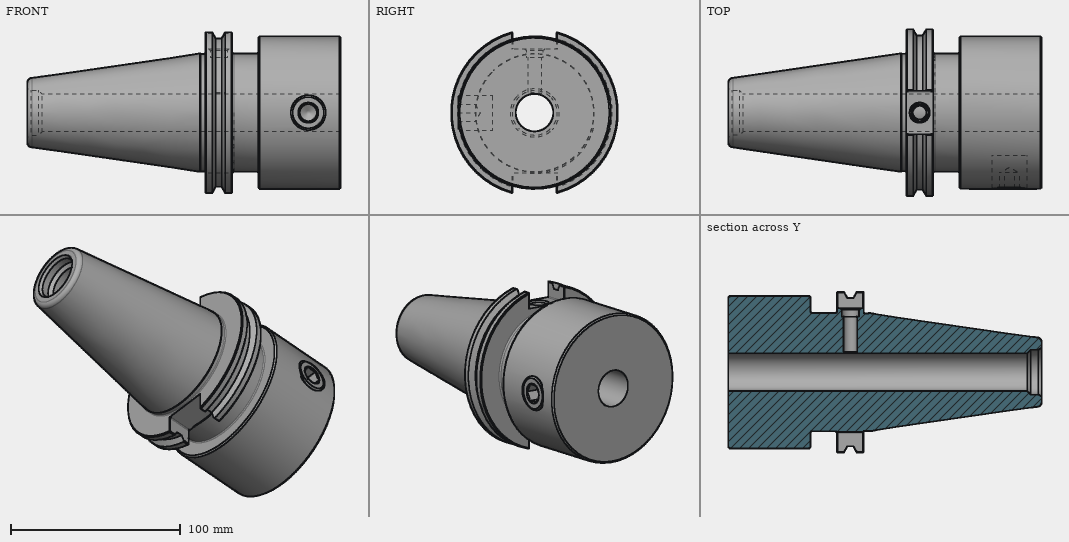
import cadquery as cq
import math


gauge_length = 101.6
gauge_diameter = 69.85
taper_per_length = 7 / 24
shank_end_radius = (gauge_diameter - gauge_length * taper_per_length) / 2
shank_end_fillet = 3.0
relief_diameter = 69.34
relief_step = 0.5

flange_diameter = 98.4
flange_start = gauge_length + 3.175
flange_width = 15.875
flange_end = flange_start + flange_width
flange_radius = flange_diameter / 2
flange_chamfer = 0.6
flange_root_fillet = 0.8
relief_fillet = 0.5
groove_center = gauge_length + 11.1
groove_bottom_radius = 45.6
groove_bottom_half_width = 1.8
groove_flank_angle = 30
groove_top_half_width = groove_bottom_half_width + (
    flange_radius - groove_bottom_radius
) * math.tan(math.radians(groove_flank_angle))

neck_radius = gauge_diameter / 2
nose_diameter = 90.0
nose_radius = nose_diameter / 2
nose_start = 136.0
nose_end = 184.61
nose_chamfer = 1.0
neck_fillet = 0.6

slot_width = 25.65
upper_slot_floor = 37.7
lower_slot_floor = 35.3
slot_edge_chamfer = 0.5
slot_floor_fillet = 0.5

bore_diameter = 21.97
bore_mouth_diameter = 26.36
bore_chamfer_diameter = 28.6
bore_chamfer_depth = 2.0
bore_mouth_end = 6.5
bore_cone_end = bore_mouth_end + (bore_mouth_diameter - bore_diameter) / 2

port_diameter = 8.0
port_counterbore_diameter = 10.0
port_counterbore_depth = 5.0
port_chamfer = 1.0
port_floor_radius = 12.0

screw_x = 165.45
screw_diameter = 20.57
screw_face_diameter = 18.36
screw_chamfer = (screw_diameter - screw_face_diameter) / 2
screw_face_y = -nose_radius
screw_length = 20.0
hex_across_flats = 10.0
hex_across_corners = hex_across_flats / math.cos(math.pi / 6)
hex_depth = 10.0
hex_chamfer_diameter = 12.0
hex_chamfer_angle = 120
drill_point_angle = 118


def revolve_about_x(profile):
    return profile.close().revolve(360, (0, 0, 0), (1, 0, 0))


def make_blank():
    """Shank, flange, neck and nose turned as one solid."""
    profile = (
        cq.Workplane("XY")
        .moveTo(0, 0)
        .lineTo(0, shank_end_radius)
        .lineTo(gauge_length, gauge_diameter / 2)
        .lineTo(gauge_length + relief_step, relief_diameter / 2)
        .lineTo(flange_start - relief_fillet, relief_diameter / 2)
        .radiusArc((flange_start, relief_diameter / 2 + relief_fillet), -relief_fillet)
        .lineTo(flange_start, flange_radius - flange_chamfer)
        .lineTo(flange_start + flange_chamfer, flange_radius)
        .lineTo(groove_center - groove_top_half_width, flange_radius)
        .lineTo(groove_center - groove_bottom_half_width, groove_bottom_radius)
        .lineTo(groove_center + groove_bottom_half_width, groove_bottom_radius)
        .lineTo(groove_center + groove_top_half_width, flange_radius)
        .lineTo(flange_end - flange_chamfer, flange_radius)
        .lineTo(flange_end, flange_radius - flange_chamfer)
        .lineTo(flange_end, neck_radius + flange_root_fillet)
        .radiusArc((flange_end + flange_root_fillet, neck_radius), -flange_root_fillet)
        .lineTo(nose_start - neck_fillet, neck_radius)
        .radiusArc((nose_start, neck_radius + neck_fillet), -neck_fillet)
        .lineTo(nose_start, nose_radius - nose_chamfer)
        .lineTo(nose_start + nose_chamfer, nose_radius)
        .lineTo(nose_end - nose_chamfer, nose_radius)
        .lineTo(nose_end, nose_radius - nose_chamfer)
        .lineTo(nose_end, 0)
    )
    return revolve_about_x(profile).faces("<X").edges().fillet(shank_end_fillet)


def make_bore():
    """Through bore with a chamfered, wider mouth at the shank end."""
    profile = (
        cq.Workplane("XY")
        .moveTo(0, 0)
        .lineTo(0, bore_chamfer_diameter / 2)
        .lineTo(bore_chamfer_depth, bore_mouth_diameter / 2)
        .lineTo(bore_mouth_end, bore_mouth_diameter / 2)
        .lineTo(bore_cone_end, bore_diameter / 2)
        .lineTo(nose_end, bore_diameter / 2)
        .lineTo(nose_end, 0)
    )
    return revolve_about_x(profile)


def make_slot(floor):
    """Cutter for a drive slot on the +Z side, with chamfered edges and filleted floor corners."""
    half_width = slot_width / 2
    flared_half_width = half_width + slot_edge_chamfer
    outline = [
        (flange_start, -flared_half_width),
        (flange_start, flared_half_width),
        (flange_start + slot_edge_chamfer, half_width),
        (flange_end - slot_edge_chamfer, half_width),
        (flange_end, flared_half_width),
        (flange_end, -flared_half_width),
        (flange_end - slot_edge_chamfer, -half_width),
        (flange_start + slot_edge_chamfer, -half_width),
    ]
    body = (
        cq.Workplane("XY")
        .workplane(offset=floor)
        .polyline(outline)
        .close()
        .extrude(flange_radius - floor)
        .faces("<Z")
        .edges("|X")
        .fillet(slot_floor_fillet)
    )

    rim_height = math.sqrt(flange_radius**2 - flared_half_width**2)
    rim_outline = [
        (-half_width, rim_height - slot_edge_chamfer),
        (half_width, rim_height - slot_edge_chamfer),
        (flared_half_width, rim_height),
        (flared_half_width, flange_radius),
        (-flared_half_width, flange_radius),
        (-flared_half_width, rim_height),
    ]
    rim = (
        cq.Workplane("YZ")
        .workplane(offset=flange_start)
        .polyline(rim_outline)
        .close()
        .extrude(flange_width)
    )
    return body.union(rim)


def make_coolant_port():
    """Stepped port in the upper slot floor; its floor is curved about the holder axis."""
    counterbore_radius = port_counterbore_diameter / 2
    counterbore_floor = upper_slot_floor - port_counterbore_depth
    profile = (
        cq.Workplane("XZ", origin=(groove_center, 0, 0))
        .moveTo(0, 0)
        .lineTo(port_diameter / 2, 0)
        .lineTo(port_diameter / 2, counterbore_floor)
        .lineTo(counterbore_radius, counterbore_floor)
        .lineTo(counterbore_radius, upper_slot_floor - port_chamfer)
        .lineTo(counterbore_radius + port_chamfer, upper_slot_floor)
        .lineTo(0, upper_slot_floor)
        .close()
    )
    port = profile.revolve(360, (0, 0, 0), (0, 1, 0))
    core = cq.Workplane("YZ").circle(port_floor_radius).extrude(nose_end)
    return port.cut(core)


def make_screw_hole():
    """Flat-bottomed hole, open at the nose surface, that seats the screw."""
    bottom_y = screw_face_y + screw_length
    return (
        cq.Workplane("XZ", origin=(screw_x, bottom_y, 0))
        .circle(screw_diameter / 2)
        .extrude(nose_radius + bottom_y)
    )


def make_holder():
    lower_slot = make_slot(lower_slot_floor).rotate((0, 0, 0), (1, 0, 0), 180)
    return (
        make_blank()
        .cut(make_bore())
        .cut(make_slot(upper_slot_floor))
        .cut(lower_slot)
        .cut(make_coolant_port())
        .cut(make_screw_hole())
    )


def make_screw():
    """Set screw pointing along +Y, with a hexagon socket that ends in a drill point."""
    bottom_y = screw_face_y + screw_length
    blank = (
        cq.Workplane("XY", origin=(screw_x, 0, 0))
        .moveTo(0, bottom_y)
        .lineTo(screw_diameter / 2, bottom_y)
        .lineTo(screw_diameter / 2, screw_face_y + screw_chamfer)
        .lineTo(screw_face_diameter / 2, screw_face_y)
        .lineTo(0, screw_face_y)
        .close()
        .revolve(360, (0, 0, 0), (0, 1, 0))
    )
    socket = (
        cq.Workplane("XZ", origin=(screw_x, screw_face_y, 0))
        .polygon(6, hex_across_corners)
        .extrude(-hex_depth)
    )
    drill_radius = hex_across_flats / 2
    point_height = drill_radius / math.tan(math.radians(drill_point_angle / 2))
    inward = cq.Vector(0, 1, 0)
    drill_point = cq.Solid.makeCone(
        drill_radius, 0, point_height, cq.Vector(screw_x, screw_face_y + hex_depth, 0), inward
    )
    mouth_radius = hex_chamfer_diameter / 2
    mouth_height = mouth_radius / math.tan(math.radians(hex_chamfer_angle / 2))
    mouth = cq.Solid.makeCone(mouth_radius, 0, mouth_height, cq.Vector(screw_x, screw_face_y, 0), inward)
    return blank.cut(socket).cut(cq.Workplane(drill_point)).cut(cq.Workplane(mouth))


holder = make_holder()
screw = make_screw()
result = cq.Compound.makeCompound([holder.val(), screw.val()])